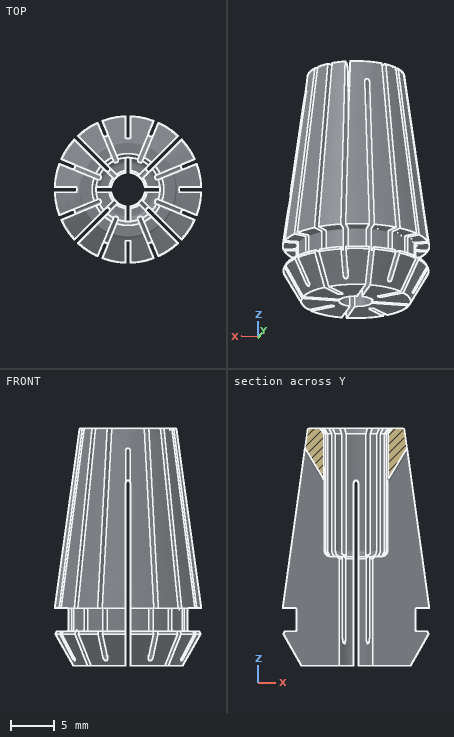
import cadquery as cq

HEIGHT = 27.5
BODY_RADIUS = 8.5

NOSE_RADIUS = 6.32
NOSE_CONE_HEIGHT = 3.68
NOSE_RIM_RADIUS = 8.42
NOSE_TOP_RADIUS = 8.25
NOSE_TOP_HEIGHT = 4.02

NECK_RADIUS = 6.9
NECK_FILLET = 0.16
TAPER_START_HEIGHT = 6.68
TAPER_TOP_RADIUS = 5.6
TOP_FILLET = 0.28

BORE_RADIUS = 1.95
BORE_CHAMFER = 0.25
RELIEF_RADIUS = 3.68
SHOULDER_HEIGHT = 12.65
SHOULDER_FILLET = 0.75
MOUTH_RADIUS = 4.15
MOUTH_DEPTH = 0.65

SLOT_COUNT = 4
SLOT_WIDTH = 0.58
SLOT_SPAN = 55.0
LONG_END_RADIUS = 5.97
LONG_END_HEIGHT = 25.27
LONG_END_SLOPE = 59.0
DEEP_END_RADIUS = 3.08
DEEP_END_HEIGHT = 0.0
DEEP_END_SLOPE = 66.5
SHORT_END_RADIUS = 6.68
SHORT_END_HEIGHT = 0.55
SHORT_END_SLOPE = 75.0

PICK_MARGIN = 0.03


def make_body():
    """Revolve the wall profile of the collet about the Z axis and round its corners."""
    body = (
        cq.Workplane("XZ")
        .moveTo(BORE_RADIUS, 0)
        .lineTo(NOSE_RADIUS, 0)
        .lineTo(NOSE_RIM_RADIUS, NOSE_CONE_HEIGHT)
        .lineTo(NOSE_TOP_RADIUS, NOSE_TOP_HEIGHT)
        .lineTo(NECK_RADIUS, NOSE_TOP_HEIGHT)
        .lineTo(NECK_RADIUS, TAPER_START_HEIGHT)
        .lineTo(BODY_RADIUS, TAPER_START_HEIGHT)
        .lineTo(TAPER_TOP_RADIUS, HEIGHT)
        .lineTo(MOUTH_RADIUS, HEIGHT)
        .lineTo(RELIEF_RADIUS, HEIGHT - MOUTH_DEPTH)
        .lineTo(RELIEF_RADIUS, SHOULDER_HEIGHT)
        .lineTo(BORE_RADIUS + BORE_CHAMFER, SHOULDER_HEIGHT)
        .lineTo(BORE_RADIUS, SHOULDER_HEIGHT - BORE_CHAMFER)
        .close()
        .revolve(360, (0, 0, 0), (0, 1, 0))
    )
    body = round_edge(body, TAPER_TOP_RADIUS, HEIGHT, TOP_FILLET)
    body = round_edge(body, RELIEF_RADIUS, SHOULDER_HEIGHT, SHOULDER_FILLET)
    body = round_edge(body, NECK_RADIUS, NOSE_TOP_HEIGHT, NECK_FILLET)
    return round_edge(body, NECK_RADIUS, TAPER_START_HEIGHT, NECK_FILLET)


def round_edge(body, edge_radius, edge_height, fillet_radius):
    """Fillet the circular edge of the given radius and height."""
    reach = edge_radius + PICK_MARGIN
    picked = cq.selectors.BoxSelector(
        (-reach, -reach, edge_height - PICK_MARGIN),
        (reach, reach, edge_height + PICK_MARGIN),
        boundingbox=True,
    )
    outermost = cq.selectors.RadiusNthSelector(-1)
    return body.edges(picked).edges(outermost).fillet(fillet_radius)


def make_slot(end_radius, end_height, end_slope, opens_up):
    """Make a slot cutter in the XZ plane; its trough climbs inwards if it opens up, else drops."""
    end_round = SLOT_WIDTH / 2
    lean = end_slope if opens_up else -end_slope
    trough = cq.Workplane("YZ").circle(end_round).extrude(SLOT_SPAN / 2, both=True)
    side = 1 if opens_up else -1
    block = cq.Workplane("XY").box(SLOT_SPAN, SLOT_WIDTH, SLOT_SPAN)
    block = block.translate((0, 0, side * SLOT_SPAN / 2))
    cutter = block.union(trough).translate((0, 0, side * end_round))
    return cutter.rotate((0, 0, 0), (0, 1, 0), lean).translate((end_radius, 0, end_height))


def cut_slots(body, slot, first_angle):
    """Cut equally spaced copies of a slot around the axis."""
    for index in range(SLOT_COUNT):
        angle = first_angle + index * 360 / SLOT_COUNT
        body = body.cut(slot.rotate((0, 0, 0), (0, 0, 1), angle))
    return body


long_slot = make_slot(LONG_END_RADIUS, LONG_END_HEIGHT, LONG_END_SLOPE, opens_up=False)
deep_slot = make_slot(DEEP_END_RADIUS, DEEP_END_HEIGHT, DEEP_END_SLOPE, opens_up=True)
short_slot = make_slot(SHORT_END_RADIUS, SHORT_END_HEIGHT, SHORT_END_SLOPE, opens_up=True)

slot_sequence = [long_slot, short_slot, deep_slot, short_slot]
slot_pitch = 360 / (SLOT_COUNT * len(slot_sequence))
result = make_body()
for position, slot in enumerate(slot_sequence):
    result = cut_slots(result, slot, position * slot_pitch)